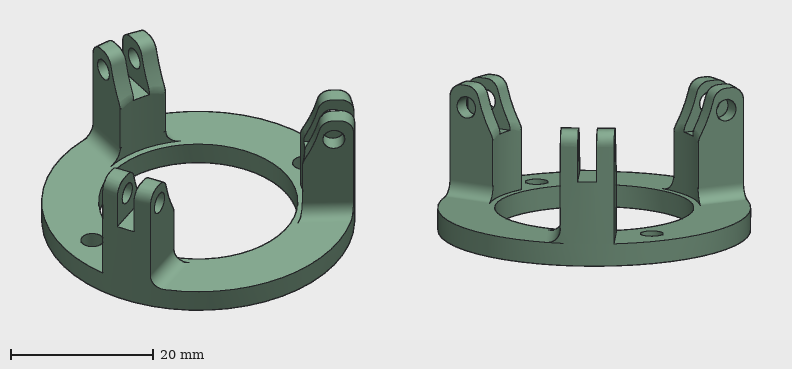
import cadquery as cq
import math

outer_radius = 22.0
bore_radius = 28.0 / 2
base_thickness = 3.2
bolt_hole_diameter = 3.2
bolt_circle_radius = 17.6

total_height = 19.2
lug_width = 7.55
lug_inner_radius = 14.95
slot_width = 2.65
slot_floor = 12.2
pin_diameter = 3.1
pin_radial_position = 18.9
pin_height = 16.0
rounding_radius = 2.0
foot_radius = 2.0

tip_center_x = 18.85
tip_center_z = total_height - rounding_radius
slope_start_angle = math.radians(15)
slope_end_angle = math.radians(32)
slope_radius = 20.25


def polar_point(center_x, center_z, radius, angle):
    """Point on a circle, on the bore side, at an angle above horizontal."""
    return (center_x - radius * math.cos(angle), center_z + radius * math.sin(angle))


def ring(inner, outer, height):
    return cq.Workplane("XY").circle(outer).circle(inner).extrude(height)


def lug_blank():
    """Lug body with its rounded tip, cut to the two concentric walls."""
    tip_mid = polar_point(
        tip_center_x, tip_center_z, rounding_radius, (math.pi / 2 + slope_start_angle) / 2
    )
    slope_start = polar_point(tip_center_x, tip_center_z, rounding_radius, slope_start_angle)
    slope_center = polar_point(
        tip_center_x, tip_center_z, rounding_radius + slope_radius, slope_start_angle
    )
    slope_mid = polar_point(
        *slope_center, -slope_radius, (slope_start_angle + slope_end_angle) / 2
    )
    slope_end = polar_point(*slope_center, -slope_radius, slope_end_angle)

    body = (
        cq.Workplane("XZ")
        .moveTo(outer_radius, base_thickness)
        .lineTo(outer_radius, total_height)
        .lineTo(tip_center_x, total_height)
        .threePointArc(tip_mid, slope_start)
        .threePointArc(slope_mid, slope_end)
        .lineTo(slope_end[0], base_thickness)
        .close()
        .extrude(lug_width / 2, both=True)
        .intersect(ring(lug_inner_radius, outer_radius, total_height))
    )
    body = body.edges(cq.selectors.NearestToPointSelector((outer_radius, 0, total_height))).fillet(
        rounding_radius
    )
    shoulder = (lug_inner_radius, 0, slope_end[1])
    return body.edges(cq.selectors.NearestToPointSelector(shoulder)).fillet(rounding_radius)


def foot(side):
    """Concave fillet between the base and one flank (side is +1 or -1)."""
    flank = side * lug_width / 2
    toe = flank + side * foot_radius
    top = base_thickness + foot_radius
    bend = foot_radius * math.sqrt(0.5)
    return (
        cq.Workplane("YZ")
        .moveTo(0, base_thickness)
        .lineTo(toe, base_thickness)
        .threePointArc((toe - side * bend, top - bend), (flank, top))
        .lineTo(0, top)
        .close()
        .extrude(outer_radius)
        .intersect(ring(lug_inner_radius, outer_radius, total_height))
    )


def lug(angle, foot_sides):
    """Slotted, cross-drilled lug turned to its angle about the ring axis."""
    body = lug_blank()
    for side in foot_sides:
        body = body.union(foot(side))
    slot = (
        cq.Workplane("XY", origin=(0, 0, slot_floor))
        .rect(2 * outer_radius, slot_width)
        .extrude(total_height - slot_floor)
    )
    pin_hole = (
        cq.Workplane("XZ")
        .center(pin_radial_position, pin_height)
        .circle(pin_diameter / 2)
        .extrude(lug_width, both=True)
    )
    return body.cut(slot).cut(pin_hole).rotate((0, 0, 0), (0, 0, 1), angle)


base = ring(bore_radius, outer_radius, base_thickness)
bolt_holes = (
    cq.Workplane("XY")
    .pushPoints([(0, bolt_circle_radius), (0, -bolt_circle_radius)])
    .circle(bolt_hole_diameter / 2)
    .extrude(base_thickness)
)
result = base.cut(bolt_holes)

for lug_angle, filleted_flanks in ((180, (-1, 1)), (60, (-1,)), (-60, (1,))):
    result = result.union(lug(lug_angle, filleted_flanks))